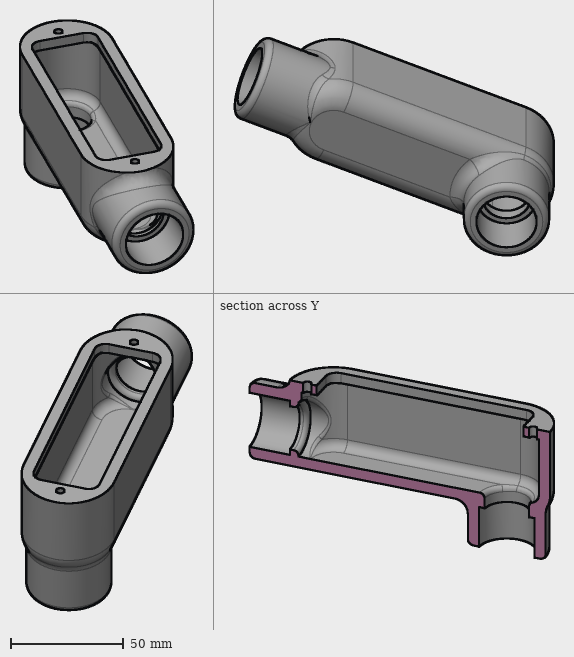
import cadquery as cq

body_width = 42.16
body_length = 126.24
body_height = 42.93
body_bottom_round = 10.16
end_radius = body_width / 2
straight_length = body_length - body_width
left_center_x = end_radius
right_center_x = left_center_x + straight_length
middle_x = body_length / 2

overall_length = 145.99
overall_height = 64.52
hub_diameter = 38.1
hub_radius = hub_diameter / 2
hub_rim_round = 2.92
hub_blend_radius = 6.1
side_hub_lift = 0.02
side_hub_z = hub_radius - body_height + side_hub_lift

socket_diameter = 26.8
socket_radius = socket_diameter / 2
socket_depth = 19.69
throat_diameter = 21.4
throat_radius = throat_diameter / 2
throat_mid_radius = (socket_radius + throat_radius) / 2
mouth_round = 2.38
shoulder_x = 122.1

wall = (hub_diameter - socket_diameter) / 2
cavity_width = body_width - 2 * wall
cavity_floor_z = wall - body_height
cavity_bottom_round = body_bottom_round - wall
lip_thickness = 5.08
opening_length = 100.2
opening_width = 30.58
opening_corner_radius = 5.08

screw_hole_diameter = 3.68
screw_spacing = 109.6

blend_headroom = 15.0

edge_margin = 0.5


def obround(length, width, bottom_z, top_z):
    """Obround prism along X, centered on the body in plan."""
    return (
        cq.Workplane("XY", origin=(middle_x, 0, bottom_z))
        .slot2D(length, width)
        .extrude(top_z - bottom_z)
    )


def cylinder_down(diameter, top_z, bottom_z):
    """Cylinder on the axis of the bottom hub."""
    return (
        cq.Workplane("XY", origin=(left_center_x, 0, bottom_z))
        .circle(diameter / 2)
        .extrude(top_z - bottom_z)
    )


def cylinder_side(diameter, start_x, end_x):
    """Cylinder on the axis of the side hub."""
    return (
        cq.Workplane("YZ", origin=(start_x, 0, side_hub_z))
        .circle(diameter / 2)
        .extrude(end_x - start_x)
    )


def body_block():
    """Solid body with its rounded bottom edge, left tall enough for the side hub blend."""
    block = obround(body_length, body_width, -body_height, blend_headroom)
    return block.faces("<Z").edges().fillet(body_bottom_round)


def bottom_hub():
    """Hub under the left end, with a rounded rim."""
    hub = cylinder_down(hub_diameter, -end_radius, -overall_height)
    return hub.faces("<Z").edges().fillet(hub_rim_round)


def side_hub():
    """Hub on the right end, with a rounded rim."""
    hub = cylinder_side(hub_diameter, right_center_x, overall_length)
    return hub.faces(">X").edges().fillet(hub_rim_round)


def edges_inside(part, low_corner, high_corner):
    """Edges that lie wholly inside the box between two corners."""
    return part.edges(cq.selectors.BoxSelector(low_corner, high_corner, boundingbox=True))


def shell_outside():
    """Body and both hubs as one solid, with the blends where they meet."""
    reach = hub_radius + edge_margin
    part = body_block().union(bottom_hub())
    part = edges_inside(
        part,
        (left_center_x - reach, -reach, -body_height - edge_margin),
        (left_center_x + reach, reach, body_bottom_round - body_height - edge_margin),
    ).fillet(hub_blend_radius)
    part = part.union(side_hub())
    part = edges_inside(
        part,
        (right_center_x + edge_margin, -reach, side_hub_z - reach),
        (overall_length - hub_rim_round - edge_margin, reach, side_hub_z + reach),
    ).fillet(hub_blend_radius)
    trim = obround(2 * body_length, 2 * body_width, 0, 2 * blend_headroom)
    return part.cut(trim)


def cavity():
    """Obround space inside the body, from the lip down to a rounded floor edge."""
    length = body_length - 2 * wall
    space = obround(length, cavity_width, cavity_floor_z, -lip_thickness)
    return space.faces("<Z").edges().fillet(cavity_bottom_round)


def side_passage():
    """Bore from the cavity into the side hub, ending at a shoulder with a rounded throat."""
    reach = throat_mid_radius
    passage = cylinder_side(socket_diameter, right_center_x, shoulder_x)
    passage = passage.union(cylinder_side(throat_diameter, shoulder_x, overall_length))
    return edges_inside(
        passage,
        (shoulder_x - edge_margin, -reach, side_hub_z - reach),
        (shoulder_x + edge_margin, reach, side_hub_z + reach),
    ).fillet(mouth_round)


def inner_space():
    """Cavity joined to the bottom throat and the side passage, with rounded mouths."""
    reach = socket_radius + edge_margin
    bottom_throat = cylinder_down(throat_diameter, side_hub_z, -overall_height)
    space = cavity().union(bottom_throat)
    space = edges_inside(
        space,
        (left_center_x - reach, -reach, cavity_floor_z - edge_margin),
        (left_center_x + reach, reach, cavity_floor_z + edge_margin),
    ).fillet(mouth_round)
    space = space.union(side_passage())
    return edges_inside(
        space,
        (right_center_x + edge_margin, -reach, side_hub_z - reach),
        (shoulder_x - edge_margin, reach, side_hub_z + reach),
    ).fillet(mouth_round)


def cover_opening():
    """Rounded rectangle through the lip around the open face."""
    return (
        cq.Workplane("XY", origin=(middle_x, 0, -lip_thickness))
        .rect(opening_length, opening_width)
        .extrude(lip_thickness)
        .edges("|Z")
        .fillet(opening_corner_radius)
    )


def pipe_sockets():
    """Sockets bored into the open end of each hub."""
    down = cylinder_down(socket_diameter, socket_depth - overall_height, -overall_height)
    side = cylinder_side(socket_diameter, overall_length - socket_depth, overall_length)
    return down, side


def screw_holes():
    """Cover screw holes through the lip at both ends."""
    return (
        cq.Workplane("XY", origin=(middle_x, 0, -lip_thickness))
        .rarray(screw_spacing, 1, 2, 1)
        .circle(screw_hole_diameter / 2)
        .extrude(lip_thickness)
    )


result = shell_outside()
for removed in (inner_space(), cover_opening(), *pipe_sockets(), screw_holes()):
    result = result.cut(removed)